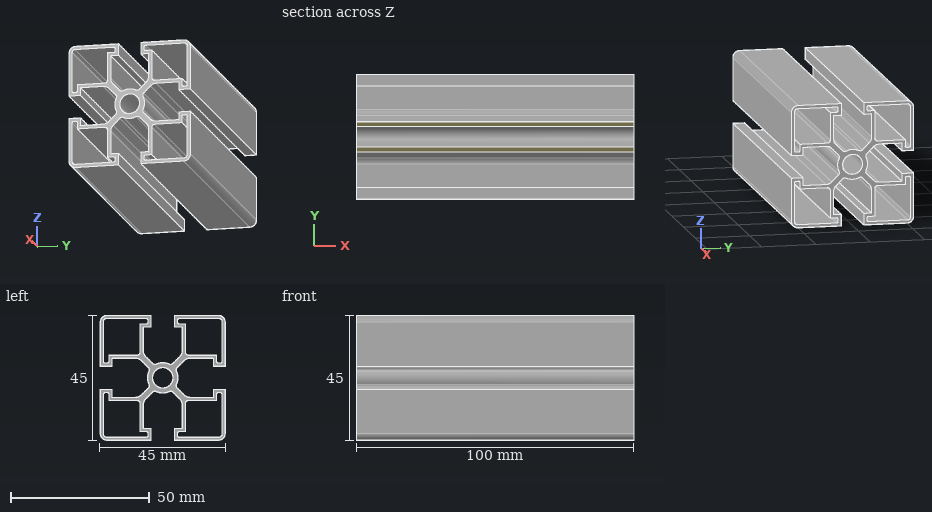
import cadquery as cq
import math

LENGTH = 100.0
SIDE = 45.0
HALF_SIDE = SIDE / 2
CORNER_RADIUS = 2.5

WALL = 1.2
POCKET_RADIUS = 1.0

SLOT_OPENING = 8.3
SLOT_WIDTH = 14.0
LIP_DEPTH = 4.3
HALF_OPENING = SLOT_OPENING / 2
HALF_SLOT = SLOT_WIDTH / 2
LIP_UNDERSIDE = HALF_SIDE - LIP_DEPTH
LIP_RADIUS = 0.5

BORE_DIAMETER = 7.3
TUBE_DIAMETER = 11.0
WEB_THICKNESS = 2.2
WEB_OFFSET = WEB_THICKNESS / math.sqrt(2)
WEB_TO_WALL_RADIUS = 3.0
WEB_TO_TUBE_RADIUS = 1.1


def edge_at(y, z):
    """Selector for the lengthwise edge through the profile point (y, z)."""
    reach = 0.01
    return cq.selectors.BoxSelector(
        (-reach, y - reach, z - reach), (LENGTH + reach, y + reach, z + reach), boundingbox=False
    )


def fillet_edges(solid, points, radius):
    for y, z in points:
        solid = solid.edges(edge_at(y, z)).fillet(radius)
    return solid


def make_blank():
    return (
        cq.Workplane("YZ")
        .rect(SIDE, SIDE)
        .extrude(LENGTH)
        .edges("|X")
        .fillet(CORNER_RADIUS)
    )


def make_slot():
    """T-slot on the +Z side, floored by the tube and the two diagonal webs."""
    tube_radius = TUBE_DIAMETER / 2
    root_y = (math.sqrt(2 * tube_radius**2 - WEB_OFFSET**2) - WEB_OFFSET) / 2
    root_z = root_y + WEB_OFFSET
    web_top_z = HALF_SLOT + WEB_OFFSET
    slot = (
        cq.Workplane("YZ")
        .moveTo(HALF_OPENING, HALF_SIDE)
        .lineTo(HALF_OPENING, LIP_UNDERSIDE)
        .lineTo(HALF_SLOT, LIP_UNDERSIDE)
        .lineTo(HALF_SLOT, web_top_z)
        .lineTo(root_y, root_z)
        .threePointArc((0, tube_radius), (-root_y, root_z))
        .lineTo(-HALF_SLOT, web_top_z)
        .lineTo(-HALF_SLOT, LIP_UNDERSIDE)
        .lineTo(-HALF_OPENING, LIP_UNDERSIDE)
        .lineTo(-HALF_OPENING, HALF_SIDE)
        .close()
        .extrude(LENGTH)
    )
    wall_corners = [(side * HALF_SLOT, web_top_z) for side in (1, -1)]
    tube_corners = [(side * root_y, root_z) for side in (1, -1)]
    slot = fillet_edges(slot, wall_corners, WEB_TO_WALL_RADIUS)
    return fillet_edges(slot, tube_corners, WEB_TO_TUBE_RADIUS)


def make_pocket():
    """Hollow of the +Y +Z corner, reaching behind both neighbouring slot lips."""
    outer = HALF_SIDE - WALL
    inner = HALF_SLOT + WALL
    lip_end = HALF_OPENING + WALL
    lip_top = LIP_UNDERSIDE + WALL
    pocket = (
        cq.Workplane("YZ")
        .moveTo(outer, outer)
        .lineTo(lip_end, outer)
        .lineTo(lip_end, lip_top)
        .lineTo(inner, lip_top)
        .lineTo(inner, inner)
        .lineTo(lip_top, inner)
        .lineTo(lip_top, lip_end)
        .lineTo(outer, lip_end)
        .close()
        .extrude(LENGTH)
    )
    square_corners = [(outer, outer), (inner, inner)]
    lip_corners = [(lip_end, outer), (outer, lip_end), (lip_end, lip_top), (lip_top, lip_end)]
    pocket = fillet_edges(pocket, square_corners, POCKET_RADIUS)
    return fillet_edges(pocket, lip_corners, LIP_RADIUS)


def make_bore():
    return cq.Workplane("YZ").circle(BORE_DIAMETER / 2).extrude(LENGTH)


def make_profile():
    profile = make_blank().cut(make_bore())
    slot = make_slot()
    pocket = make_pocket()
    for angle in (0, 90, 180, 270):
        for tool in (slot, pocket):
            profile = profile.cut(tool.rotate((0, 0, 0), (1, 0, 0), angle))
    return profile


result = make_profile()